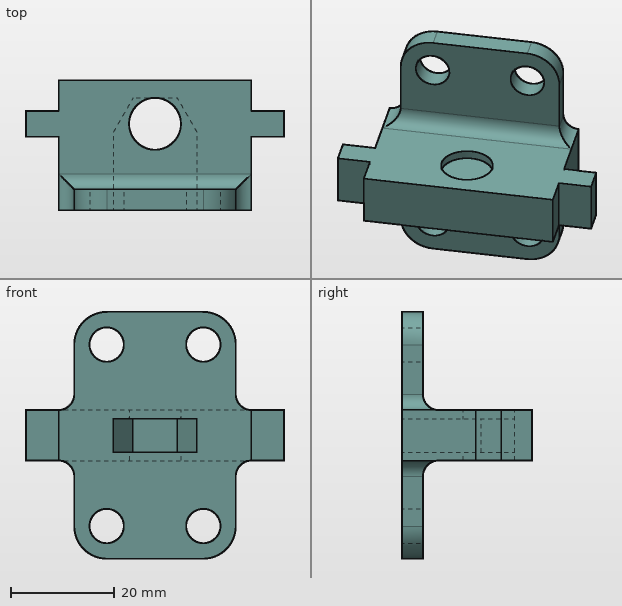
import cadquery as cq

span = 50.1
depth = 25.25
flange_height = 47.9

flange_width = 31.35
flange_thickness = 4.1
flange_corner_radius = 6.35
bolt_hole_diameter = 6.6
bolt_spacing_x = 18.75
bolt_spacing_z = 35.15

root_fillet = 3.0
body_width = flange_width + 2 * root_fillet
body_height = 9.8

tab_thickness = 5.0
tab_center_y = 16.8

bore_diameter = 10.0
bore_center_y = tab_center_y
cavity_width = 16.15
cavity_height = 6.5
cavity_depth = bore_center_y + bore_diameter / 2
cavity_end_width = 8.6
cavity_taper_length = 6.5


def centred_box(width, y_start, y_end, height):
    """Box centred on X and Z between two Y positions."""
    length = y_end - y_start
    return cq.Workplane("XY").box(width, length, height).translate((0, y_start + length / 2, 0))


def flange_outline():
    """Rounded flange crossed by a full-span bar, with concave fillets in the corners."""
    flange = centred_box(flange_width, 0, depth, flange_height)
    flange = flange.edges("|Y").fillet(flange_corner_radius)
    cross = flange.union(centred_box(span, 0, depth, body_height))
    inner_corners = cq.selectors.BoxSelector(
        (-flange_width / 2 - 0.5, -0.5, -body_height / 2 - 0.5),
        (flange_width / 2 + 0.5, depth + 0.5, body_height / 2 + 0.5),
    )
    return cross.edges("|Y").edges(inner_corners).fillet(root_fillet)


def side_outline():
    """T-shaped side profile with concave fillets where the body meets the flange."""
    flange = centred_box(body_width, 0, flange_thickness, flange_height)
    tee = flange.union(centred_box(body_width, 0, depth, body_height))
    inner_corners = cq.selectors.BoxSelector(
        (-body_width, flange_thickness - 0.5, -body_height / 2 - 0.5),
        (body_width, flange_thickness + 0.5, body_height / 2 + 0.5),
    )
    return tee.edges("|X").edges(inner_corners).fillet(root_fillet)


def side_tabs():
    """Bar across the body whose two ends stand out as tabs."""
    half = tab_thickness / 2
    return centred_box(span, tab_center_y - half, tab_center_y + half, body_height)


def bolt_holes():
    return (
        cq.Workplane("XZ")
        .rarray(bolt_spacing_x, bolt_spacing_z, 2, 2)
        .circle(bolt_hole_diameter / 2)
        .extrude(-depth)
    )


def vertical_bore():
    return (
        cq.Workplane("XY")
        .center(0, bore_center_y)
        .circle(bore_diameter / 2)
        .extrude(body_height, both=True)
    )


def cavity():
    """Blind rectangular passage that narrows symmetrically to its end wall."""
    half_mouth = cavity_width / 2
    half_end = cavity_end_width / 2
    taper_start = cavity_depth - cavity_taper_length
    plan = [
        (-half_mouth, 0),
        (half_mouth, 0),
        (half_mouth, taper_start),
        (half_end, cavity_depth),
        (-half_end, cavity_depth),
        (-half_mouth, taper_start),
    ]
    return cq.Workplane("XY").polyline(plan).close().extrude(cavity_height / 2, both=True)


result = flange_outline().intersect(side_outline()).union(side_tabs())
result = result.cut(bolt_holes()).cut(vertical_bore()).cut(cavity())